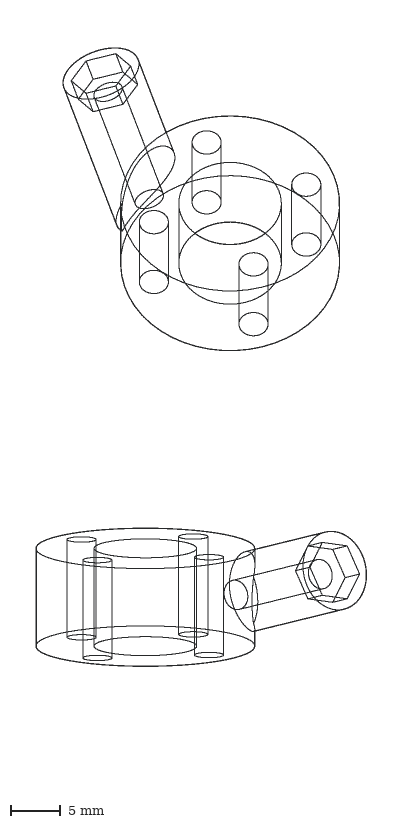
import cadquery as cq
import math

ring_diameter = 22.0
ring_height = 10.0
bore_diameter = 10.3
bolt_hole_diameter = 2.92
bolt_circle_diameter = 16.0
bolt_hole_count = 4

overall_length = 34
arm_diameter = 8.0
arm_offset = 6.5
bend_angle = 45
arm_hole_diameter = 3.0

nut_across_flats = 5.4
nut_depth = 2.4

ring_radius = ring_diameter / 2
arm_radius = arm_diameter / 2
arm_height = ring_height / 2
arm_end_x = ring_radius - overall_length
bend_x = -arm_offset / math.tan(math.radians(bend_angle))
arm_length = bend_x - arm_end_x
nut_across_corners = nut_across_flats / math.cos(math.pi / 6)

arm_end = cq.Workplane("YZ", origin=(arm_end_x, -arm_offset, arm_height))


def make_ring_blank():
    return cq.Workplane("XY").circle(ring_radius).extrude(ring_height)


def make_arm():
    """Round bar with a mitred bend, ending at the ring axis."""
    path = (
        cq.Workplane("XY", origin=(0, 0, arm_height))
        .moveTo(arm_end_x, -arm_offset)
        .lineTo(bend_x, -arm_offset)
        .lineTo(0, 0)
    )
    return arm_end.circle(arm_radius).sweep(path, transition="right")


def make_ring_holes():
    bore = cq.Workplane("XY").circle(bore_diameter / 2).extrude(ring_height)
    bolt_holes = (
        cq.Workplane("XY")
        .polarArray(bolt_circle_diameter / 2, 0, 360, bolt_hole_count)
        .circle(bolt_hole_diameter / 2)
        .extrude(ring_height)
    )
    return bore.union(bolt_holes)


def make_arm_cavity():
    """Nut pocket and the blind hole that continues to the bend."""
    nut_pocket = arm_end.polygon(6, nut_across_corners).extrude(nut_depth)
    hole = arm_end.circle(arm_hole_diameter / 2).extrude(arm_length)
    return nut_pocket.union(hole)


result = make_ring_blank().union(make_arm()).cut(make_ring_holes()).cut(make_arm_cavity())